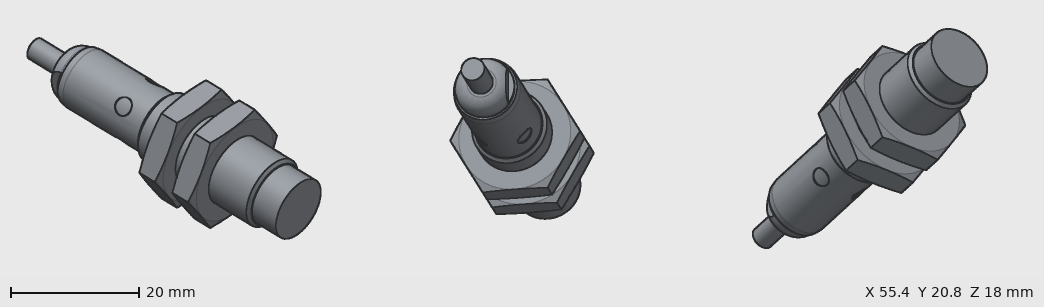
import cadquery as cq
import math

cable_diameter = 3.7
cap_start = 6.35
cap_diameter = 9.4
cap_round = 2.4
cap_flat_offset = 3.75
cap_flat_end = 8.85

collar_start = 9.35
collar_diameter = 10.15
collar_end = 10.5
housing_diameter = 10.5
total_length = 55.35

window_diameter = 3.0
window_x = 21.85
window_floor_diameter = 10.15
window_angles = (45, 135, 225, 315)

barrel_diameter = 12.0
barrel_start = 26.5
barrel_end = 50.4
barrel_chamfer = 0.55

nut_across_flats = 18.0
nut_across_corners = nut_across_flats / math.cos(math.radians(30))
nut_thickness = 4.05
nut_starts = (30.9, 37.9)
nut_face_diameter = 17.9
nut_corner_drop = 0.4


def make_profile():
    """Revolve the stepped outline of cable, cap, housing and barrel."""
    cable_r = cable_diameter / 2
    cap_r = cap_diameter / 2
    collar_r = collar_diameter / 2
    housing_r = housing_diameter / 2
    barrel_r = barrel_diameter / 2
    barrel_edge_r = barrel_r - barrel_chamfer
    round_centre_r = cap_r - cap_round
    round_mid = cap_round * math.sqrt(0.5)
    return (
        cq.Workplane("XY")
        .lineTo(0, cable_r)
        .lineTo(cap_start, cable_r)
        .lineTo(cap_start, round_centre_r)
        .threePointArc(
            (cap_start + cap_round - round_mid, round_centre_r + round_mid),
            (cap_start + cap_round, cap_r),
        )
        .lineTo(collar_start, cap_r)
        .lineTo(collar_start, collar_r)
        .lineTo(collar_end, housing_r)
        .lineTo(barrel_start, housing_r)
        .lineTo(barrel_start, barrel_edge_r)
        .lineTo(barrel_start + barrel_chamfer, barrel_r)
        .lineTo(barrel_end - barrel_chamfer, barrel_r)
        .lineTo(barrel_end, barrel_edge_r)
        .lineTo(barrel_end, housing_r)
        .lineTo(total_length, housing_r)
        .lineTo(total_length, 0)
        .close()
        .revolve(360, (0, 0, 0), (1, 0, 0))
    )


def make_cap_flat_cutter():
    """Block that leaves a flat on the -Y side of the end cap."""
    return cq.Workplane("XY").box(
        cap_flat_end - cap_start, cap_diameter, cap_diameter, centered=(False, False, True)
    ).translate((cap_start, -cap_flat_offset - cap_diameter, 0))


def make_window_cutter(angle):
    """Radial cylinder with a curved floor, concentric with the housing."""
    floor_core = (
        cq.Workplane("YZ", origin=(window_x - window_diameter, 0, 0))
        .circle(window_floor_diameter / 2)
        .extrude(2 * window_diameter)
    )
    return (
        cq.Workplane("XY", origin=(window_x, 0, 0))
        .circle(window_diameter / 2)
        .extrude(housing_diameter)
        .cut(floor_core)
        .rotate((0, 0, 0), (1, 0, 0), angle)
    )


def make_sensor():
    sensor = make_profile().cut(make_cap_flat_cutter())
    for angle in window_angles:
        sensor = sensor.cut(make_window_cutter(angle))
    return sensor


def make_nut(start):
    """Hexagonal nut with corners along Y and conical chamfers on both faces."""
    hexagon = (
        cq.Workplane("YZ")
        .polygon(6, nut_across_corners)
        .extrude(nut_thickness)
    )
    face_r = nut_face_diameter / 2
    corner_r = nut_across_corners / 2
    chamfer_envelope = (
        cq.Workplane("XY")
        .lineTo(0, face_r)
        .lineTo(nut_corner_drop, corner_r)
        .lineTo(nut_thickness - nut_corner_drop, corner_r)
        .lineTo(nut_thickness, face_r)
        .lineTo(nut_thickness, 0)
        .close()
        .revolve(360, (0, 0, 0), (1, 0, 0))
    )
    bore = cq.Workplane("YZ").circle(barrel_diameter / 2).extrude(nut_thickness)
    return hexagon.intersect(chamfer_envelope).cut(bore).translate((start, 0, 0))


sensor = make_sensor()
nuts = [make_nut(start) for start in nut_starts]

result = cq.Compound.makeCompound([sensor.val(), *[nut.val() for nut in nuts]])